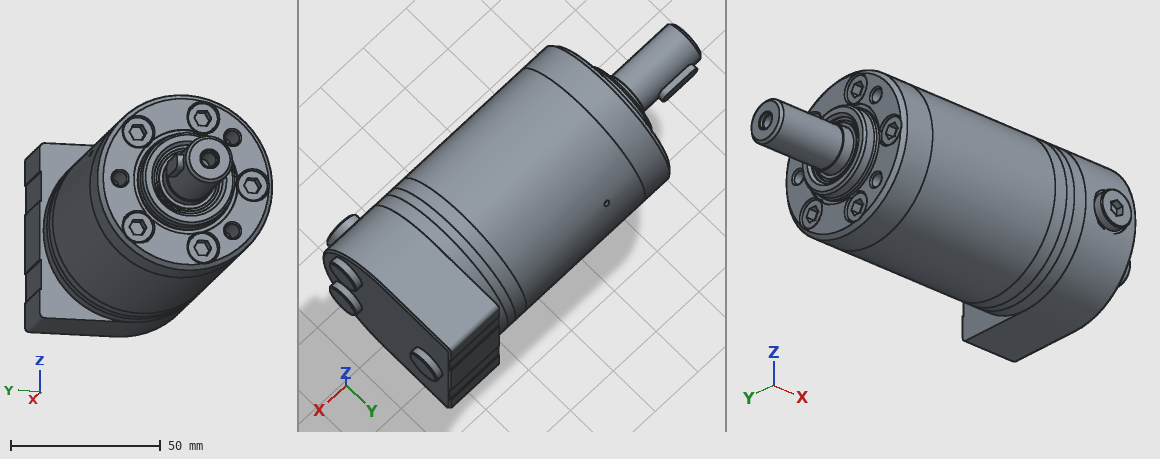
import cadquery as cq
import math


length = 143.8
body_dia = 60.0
hex_sides = 6

shaft_step_x = 27.7
pilot_x = 30.5
flange_x = 35.4
housing_x = 48.3
front_ring_x = 103.8
plate_x = 109.0
rear_ring_x = 112.4
cover_x = 117.6
rear_screw_height = 3.0
cover_end_x = length - rear_screw_height

shaft_dia = 16.0
shoulder_dia = 17.0
shaft_chamfer = 1.0
center_hole_dia = 4.9
center_hole_counterbore_dia = 6.0
center_hole_counterbore_depth = 1.5
center_hole_mouth_dia = 6.6
center_hole_depth = 11.5
drill_point_angle = 118.0

key_start_x = 4.5
key_length = 16.2
key_width = 5.0
key_top_y = 10.0
key_bottom_y = 5.0

flange_chamfer = 1.6
pilot_dia = 31.6
pilot_chamfer = 0.9
pilot_foot_dia = 32.8
groove_dia = 35.6
groove_depth = 1.2
seal_bore_mouth_dia = 25.6
seal_bore_dia = 23.5
seal_bore_taper_depth = 1.0
seal_bore_depth = 1.6
lip_outer_dia = 21.5
lip_inner_dia = 19.8
lip_groove_depth = 0.9
lip_clearance_dia = 17.2
lip_clearance_depth = 2.5

screw_circle_radius = 23.0
screw_angles = (45.0, 105.0, 180.0, 255.0, 315.0)
counterbore_dia = 11.0
counterbore_depth = 5.0
screw_head_dia = 10.0
screw_head_sink = 0.7
socket_corner_dia = 5.9
socket_depth = 3.6

mount_circle_radius = 22.5
mount_angles = (0.0, 135.0, 225.0)
mount_hole_dia = 4.9
mount_mouth_dia = 6.0

pin_hole_x = 62.7
pin_hole_dia = 2.0
pin_hole_depth = 1.5
pin_hole_angle = 28.6

flat_side_y = 31.2
flat_side_rounding = 1.7
cover_rear_chamfer = 0.7
port_slot_z = 15.1
port_slot_width = 10.0
port_slot_depth = 0.5

rear_screw_circle_radius = 21.3
rear_screw_angles = (0.0, 144.0, 216.0)
rear_screw_dia = 13.0
rear_screw_chamfer = 0.5

plug_x = 129.1
plug_top_y = -32.8
plug_dia = 13.8
plug_chamfer = 0.5
plug_spotface_dia = 15.5
plug_spotface_y = -29.0
plug_socket_corner_dia = 6.0
plug_socket_depth = 2.9


def disc(start_x, end_x, dia):
    """Cylinder on the motor axis between two stations."""
    return cq.Workplane("YZ", origin=(start_x, 0, 0)).circle(dia / 2).extrude(end_x - start_x)


def cone(start_x, end_x, start_dia, end_dia):
    """Conical frustum on the motor axis between two stations."""
    frustum = cq.Solid.makeCone(
        start_dia / 2, end_dia / 2, end_x - start_x, cq.Vector(start_x, 0, 0), cq.Vector(1, 0, 0)
    )
    return cq.Workplane(frustum)


def around_axis(shape, radius, angles):
    """Copies of an on-axis shape on a circle; angles run from +Y towards +Z."""
    copies = []
    for angle in angles:
        turn = math.radians(angle)
        copies.append(shape.translate((0, radius * math.cos(turn), radius * math.sin(turn))))
    return copies


def make_key():
    """Round-ended key standing out of the +Y side of the shaft."""
    return (
        cq.Workplane("XZ", origin=(key_start_x + key_length / 2, key_bottom_y, 0))
        .slot2D(key_length, key_width)
        .extrude(key_bottom_y - key_top_y)
    )


def make_shaft():
    """Stepped shaft with a centre hole in its tip; it ends at the housing face."""
    shaft = disc(0, shaft_step_x, shaft_dia).faces("<X").chamfer(shaft_chamfer)
    shaft = shaft.union(disc(shaft_step_x, housing_x, shoulder_dia))

    mouth_depth = (center_hole_mouth_dia - center_hole_counterbore_dia) / 2
    point_length = center_hole_dia / 2 / math.tan(math.radians(drill_point_angle / 2))
    point_end_x = center_hole_depth + point_length
    shaft = shaft.cut(cone(0, mouth_depth, center_hole_mouth_dia, center_hole_counterbore_dia))
    shaft = shaft.cut(disc(0, center_hole_counterbore_depth, center_hole_counterbore_dia))
    shaft = shaft.cut(disc(0, center_hole_depth, center_hole_dia))
    shaft = shaft.cut(cone(center_hole_depth, point_end_x, center_hole_dia, 0))
    return shaft.union(make_key())


def cut_seal_seat(flange):
    """Stepped recess for the shaft seal, then the bore that fits the shaft."""
    taper_end_x = pilot_x + seal_bore_taper_depth
    seat_x = pilot_x + seal_bore_depth
    flange = flange.cut(cone(pilot_x, taper_end_x, seal_bore_mouth_dia, seal_bore_dia))
    flange = flange.cut(disc(taper_end_x, seat_x, seal_bore_dia))
    lip_groove_end_x = seat_x + lip_groove_depth
    lip_groove = disc(seat_x, lip_groove_end_x, lip_outer_dia)
    flange = flange.cut(lip_groove.cut(disc(seat_x, lip_groove_end_x, lip_inner_dia)))
    flange = flange.cut(disc(seat_x, pilot_x + lip_clearance_depth, lip_clearance_dia))
    return flange.cut(disc(pilot_x, housing_x, shoulder_dia))


def make_front_screw_head():
    """Socket screw head on the motor axis, sunk below the flange face."""
    top_x = flange_x + screw_head_sink
    head = disc(top_x, flange_x + counterbore_depth, screw_head_dia)
    socket = (
        cq.Workplane("YZ", origin=(top_x, 0, 0))
        .polygon(hex_sides, socket_corner_dia)
        .extrude(socket_depth)
    )
    return head.cut(socket)


def make_flange():
    """Flange with a pilot inside a ring groove, its screws and its mounting holes."""
    flange = disc(flange_x, housing_x, body_dia).faces("<X").chamfer(flange_chamfer)
    groove_end_x = flange_x + groove_depth
    flange = flange.cut(disc(flange_x, groove_end_x, groove_dia))

    foot_start_x = flange_x - (pilot_foot_dia - pilot_dia) / 2
    flange = flange.union(disc(pilot_x, flange_x, pilot_dia).faces("<X").chamfer(pilot_chamfer))
    flange = flange.union(cone(foot_start_x, flange_x, pilot_dia, pilot_foot_dia))
    flange = flange.union(disc(flange_x, groove_end_x, pilot_foot_dia))
    flange = cut_seal_seat(flange)

    counterbore = disc(flange_x, flange_x + counterbore_depth, counterbore_dia)
    for hole in around_axis(counterbore, screw_circle_radius, screw_angles):
        flange = flange.cut(hole)
    for head in around_axis(make_front_screw_head(), screw_circle_radius, screw_angles):
        flange = flange.union(head)

    mouth_end_x = flange_x + (mount_mouth_dia - mount_hole_dia) / 2
    mount_hole = disc(flange_x, housing_x, mount_hole_dia)
    mount_hole = mount_hole.union(cone(flange_x, mouth_end_x, mount_mouth_dia, mount_hole_dia))
    for hole in around_axis(mount_hole, mount_circle_radius, mount_angles):
        flange = flange.cut(hole)
    return flange


def make_housing():
    """Plain cylinder with one small radial hole."""
    housing = disc(housing_x, front_ring_x, body_dia)
    pin_hole = (
        cq.Workplane("XZ", origin=(pin_hole_x, body_dia / 2 - pin_hole_depth, 0))
        .circle(pin_hole_dia / 2)
        .extrude(-2 * pin_hole_depth)
        .rotate((0, 0, 0), (1, 0, 0), pin_hole_angle)
    )
    return housing.cut(pin_hole)


def make_cover_block():
    """Half-round block; two shallow slots run along X in its flat side."""
    radius = body_dia / 2
    block_length = cover_end_x - cover_x
    block = (
        cq.Workplane("YZ", origin=(cover_x, 0, 0))
        .moveTo(flat_side_y, -radius)
        .lineTo(flat_side_y, radius)
        .lineTo(0, radius)
        .threePointArc((-radius, 0), (0, -radius))
        .close()
        .extrude(block_length)
    )
    block = block.edges("|X and >Y").fillet(flat_side_rounding)
    block = block.faces(">X").chamfer(cover_rear_chamfer)
    for side in (-1, 1):
        slot = cq.Workplane("XY").box(block_length, 2 * port_slot_depth, port_slot_width)
        slot_center = (cover_x + block_length / 2, flat_side_y, side * port_slot_z)
        block = block.cut(slot.translate(slot_center))
    return block


def add_plug(cover):
    """Plug seated in a spotface, with two socket corners pointing along Z."""
    spotface = (
        cq.Workplane("XZ", origin=(plug_x, plug_spotface_y, 0))
        .circle(plug_spotface_dia / 2)
        .extrude(body_dia)
    )
    plug = (
        cq.Workplane("XZ", origin=(plug_x, plug_spotface_y, 0))
        .circle(plug_dia / 2)
        .extrude(plug_spotface_y - plug_top_y)
        .faces("<Y")
        .chamfer(plug_chamfer)
    )
    socket = (
        cq.Workplane("XZ", origin=(plug_x, plug_top_y + plug_socket_depth, 0))
        .transformed(rotate=(0, 0, 180 / hex_sides))
        .polygon(hex_sides, plug_socket_corner_dia)
        .extrude(plug_socket_depth)
    )
    return cover.cut(spotface).union(plug.cut(socket))


def make_cover():
    """Cover block with its plug and the rear screw heads."""
    cover = add_plug(make_cover_block())
    head = disc(cover_end_x, length, rear_screw_dia).faces(">X").chamfer(rear_screw_chamfer)
    for screw in around_axis(head, rear_screw_circle_radius, rear_screw_angles):
        cover = cover.union(screw)
    return cover


shaft = make_shaft()
flange = make_flange()
housing = make_housing()
front_ring = disc(front_ring_x, plate_x, body_dia)
plate = disc(plate_x, rear_ring_x, body_dia)
rear_ring = disc(rear_ring_x, cover_x, body_dia)
cover = make_cover()

result = cq.Compound.makeCompound(
    [
        shaft.val(),
        flange.val(),
        housing.val(),
        front_ring.val(),
        plate.val(),
        rear_ring.val(),
        cover.val(),
    ]
)